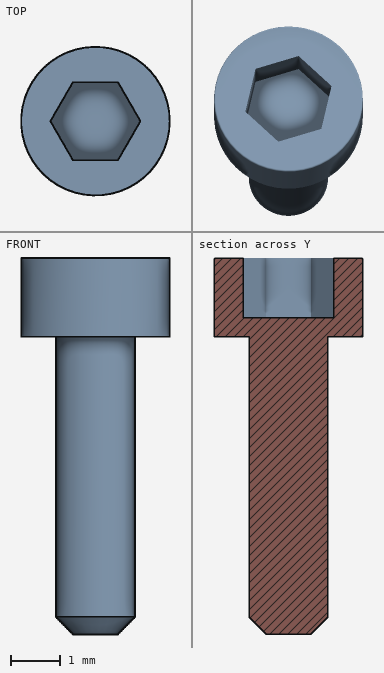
import cadquery as cq
import math

total_length = 7.6
head_diameter = 3.0
head_height = 1.595
shank_diameter = 1.6

head_edge_radius = 0.03
tip_chamfer_height = 0.36
tip_diameter = 0.9

socket_across_flats = 1.57
socket_depth = 1.2

shank_length = total_length - head_height
socket_across_corners = socket_across_flats / math.cos(math.radians(30))


def make_head():
    """Cylindrical head resting on z = 0, with a rounded top rim."""
    head = cq.Workplane("XY").circle(head_diameter / 2).extrude(head_height)
    return head.faces(">Z").edges().fillet(head_edge_radius)


def make_shank():
    """Plain shank below the head, ending in a conical tip."""
    tip_inset = (shank_diameter - tip_diameter) / 2
    shank = cq.Workplane("XY").circle(shank_diameter / 2).extrude(-shank_length)
    return shank.faces("<Z").chamfer(tip_chamfer_height, tip_inset)


def make_socket():
    """Hexagonal cutter reaching down from the top of the head."""
    top_plane = cq.Workplane("XY").workplane(offset=head_height)
    return top_plane.polygon(6, socket_across_corners).extrude(-socket_depth)


result = make_head().union(make_shank()).cut(make_socket())